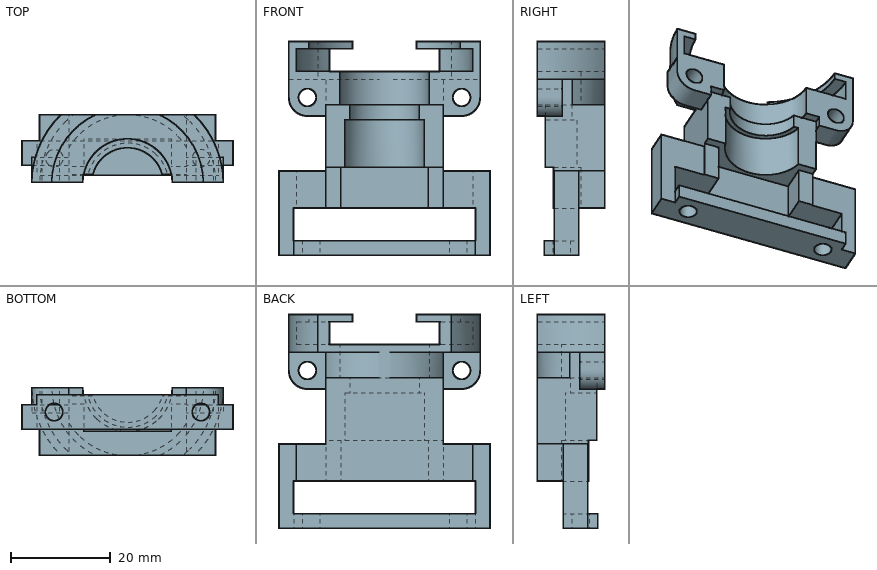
import cadquery as cq

AXIS_Y = -0.25
BACK_Y = 13.6
TOP_Z = 43.0

FRAME_WIDTH = 42.5
FRAME_TOP_Z = 17.0
FRAME_FRONT_Y = 3.4
LEG_WIDTH = 3.0
LEG_DEPTH = 5.0
LEG_BACK_Y = FRAME_FRONT_Y + LEG_DEPTH
WINDOW_WIDTH = FRAME_WIDTH - 2 * LEG_WIDTH
CROSSBEAM_WIDTH = 35.4
CROSSBEAM_BOTTOM_Z = 9.5

BAR_DEPTH = 7.0
BAR_HEIGHT = 3.0
BAR_FRONT_Y = LEG_BACK_Y - BAR_DEPTH
BAR_HOLE_SPACING = 29.5
HOLE_DIAMETER = 3.5

NECK_WIDTH = 23.7
NECK_FRONT_Y = 1.6
NECK_BASE_FRONT_Y = 3.25
NECK_BASE_TOP_Z = 17.7
NECK_SHOULDER_Z = 30.25
COLLAR_RADIUS = 13.9

RECESS_WIDTH = 17.6
RECESS_BACK_Y = 8.75

LOWER_BORE_RADIUS = 8.2
LOWER_BORE_TOP_Z = 27.25
MIDDLE_BORE_RADIUS = 7.2
UPPER_BORE_RADIUS = 9.0

FLANGE_RADIUS = 19.25
FLANGE_BOTTOM_Z = 35.45
DECK_Z = 37.0
LIP_THICKNESS = 1.5
LIP_INNER_RADIUS = 15.25
GROOVE_RADIUS = 17.7

EAR_DEPTH = 5.0
EAR_CORNER_RADIUS = 3.75
EAR_BOTTOM_Z = 28.0
EAR_HOLE_X = FLANGE_RADIUS - EAR_CORNER_RADIUS
EAR_HOLE_Z = EAR_BOTTOM_Z + EAR_CORNER_RADIUS


def block(width, front, back, bottom, top):
    """Box centred on X = 0 between the given Y and Z limits."""
    depth = back - front
    height = top - bottom
    solid = cq.Workplane("XY").box(width, depth, height, centered=(True, False, False))
    return solid.translate((0, front, bottom))


def disc(radius, bottom, top):
    """Full cylinder about the bore axis between two heights."""
    return cq.Workplane("XY", origin=(0, AXIS_Y, bottom)).circle(radius).extrude(top - bottom)


def make_frame():
    legs = block(FRAME_WIDTH, FRAME_FRONT_Y, LEG_BACK_Y, 0, FRAME_TOP_Z)
    window = block(WINDOW_WIDTH, FRAME_FRONT_Y, LEG_BACK_Y, 0, CROSSBEAM_BOTTOM_Z)
    crossbeam = block(CROSSBEAM_WIDTH, FRAME_FRONT_Y, BACK_Y, CROSSBEAM_BOTTOM_Z, FRAME_TOP_Z)
    bar = block(WINDOW_WIDTH, BAR_FRONT_Y, LEG_BACK_Y, 0, BAR_HEIGHT)
    bar_holes = (
        cq.Workplane("XY", origin=(0, BAR_FRONT_Y + BAR_DEPTH / 2, 0))
        .rarray(BAR_HOLE_SPACING, 1, 2, 1)
        .circle(HOLE_DIAMETER / 2)
        .extrude(BAR_HEIGHT)
    )
    return legs.cut(window).union(crossbeam).union(bar.cut(bar_holes))


def make_neck():
    base = block(NECK_WIDTH, NECK_BASE_FRONT_Y, BACK_Y, CROSSBEAM_BOTTOM_Z, NECK_BASE_TOP_Z)
    shaft = block(NECK_WIDTH, NECK_FRONT_Y, BACK_Y, NECK_BASE_TOP_Z, NECK_SHOULDER_Z)
    collar = block(NECK_WIDTH, 0, BACK_Y, NECK_SHOULDER_Z, FLANGE_BOTTOM_Z)
    collar = collar.intersect(disc(COLLAR_RADIUS, NECK_SHOULDER_Z, FLANGE_BOTTOM_Z))
    return base.union(shaft).union(collar)


def make_flange():
    half_space = block(2 * FLANGE_RADIUS, 0, BACK_Y, FLANGE_BOTTOM_Z, TOP_Z)
    groove = disc(GROOVE_RADIUS, DECK_Z, TOP_Z - LIP_THICKNESS)
    lip_opening = disc(LIP_INNER_RADIUS, DECK_Z, TOP_Z)
    return disc(FLANGE_RADIUS, FLANGE_BOTTOM_Z, TOP_Z).intersect(half_space).cut(groove).cut(lip_opening)


def make_ears():
    """Cross plate with rounded lower corners, notched in the middle for the neck shaft."""
    plate = block(2 * FLANGE_RADIUS, 0, EAR_DEPTH, EAR_BOTTOM_Z, FLANGE_BOTTOM_Z)
    plate = plate.edges("|Y and <Z").fillet(EAR_CORNER_RADIUS)
    notch = block(NECK_WIDTH, 0, EAR_DEPTH, EAR_BOTTOM_Z, NECK_SHOULDER_Z)
    holes = (
        cq.Workplane("XZ", origin=(0, 0, EAR_HOLE_Z))
        .rarray(2 * EAR_HOLE_X, 1, 2, 1)
        .circle(HOLE_DIAMETER / 2)
        .extrude(-EAR_DEPTH)
    )
    return plate.cut(notch).cut(holes)


def make_bore():
    recess = block(RECESS_WIDTH, NECK_BASE_FRONT_Y, RECESS_BACK_Y, CROSSBEAM_BOTTOM_Z, NECK_BASE_TOP_Z)
    lower = disc(LOWER_BORE_RADIUS, NECK_BASE_TOP_Z, LOWER_BORE_TOP_Z)
    middle = disc(MIDDLE_BORE_RADIUS, LOWER_BORE_TOP_Z, NECK_SHOULDER_Z)
    upper = disc(UPPER_BORE_RADIUS, NECK_SHOULDER_Z, DECK_Z)
    return recess.union(lower).union(middle).union(upper)


body = make_frame().union(make_neck()).union(make_flange()).union(make_ears())
result = body.cut(make_bore())